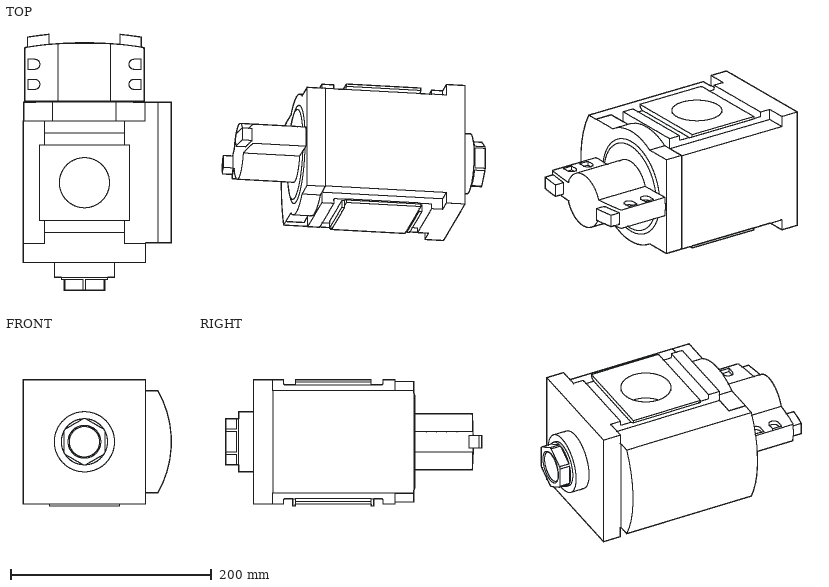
import cadquery as cq
import math

BODY_WIDTH = 122.0
BODY_HEIGHT = 124.0
SHOULDER_HEIGHT = 102.0
PAD_WIDTH = 80.0
BODY_FRONT = -79.6
BODY_BACK = 61.7
FRONT_BLOCK_BACK = -60.6

GROOVE_LENGTH = 99.0
GROOVE_DEPTH = 5.0
GROOVE_FILLET = 1.0
PORT_PLATE_WIDTH = 90.0
PORT_PLATE_LENGTH = 75.4
PORT_PLATE_RIM = 2.6
PORT_PLATE_THICKNESS = 5.4
PORT_DIAMETER = 50.0
PORT_DEPTH = 30.5
RETAINER_WIDTH = 70.0
RETAINER_THICKNESS = 2.8
RETAINER_BOTTOM = -64.0

COVER_TOP_X = 86.71
COVER_EDGE_X = 73.2
COVER_FRONT = -59.9
COVER_BACK = 80.2

BACK_PLATE_WIDTH = 121.0
BACK_PLATE_HEIGHT = 102.6
BACK_PLATE_DISC_DIAMETER = 120.6
BACK_PLATE_END = COVER_BACK

NECK_DIAMETER = 98.18
NECK_TOP_DIAMETER = 90.0
NECK_HEIGHT = 1.4
NECK_END = BACK_PLATE_END + NECK_HEIGHT
HUB_DIAMETER = 56.0
WING_DIAMETER = 120.0
WING_THICKNESS = 20.0
WING_START = 81.2
WING_END_FILLET = 1.4
HANDLE_APEX = 139.7
HANDLE_DOME_RADIUS = 360.0
LUG_INNER_X = 35.2
LUG_OUTER_X = 56.8
LUG_THICKNESS = 12.6
LUG_END = 147.95
GRIP_POCKET_WIDTH = 10.0
GRIP_POCKET_OUTER_X = 56.4
GRIP_POCKET_INNER_X = 44.4
GRIP_POCKET_DEPTH = 4.2
GRIP_POCKET_CENTRES = (98.0, 118.0)

COLLAR_DIAMETER = 60.0
COLLAR_END = -94.2
FLANGE_DIAMETER = 46.0
FLANGE_END = -96.6
NUT_ACROSS_FLATS = 41.0
NUT_END = -107.2
NUT_BORE_DIAMETER = 30.29
NUT_BORE_DEPTH = 17.5
NUT_BORE_CHAMFER = 1.2


def block(x_range, y_range, z_range):
    """Axis-aligned box between the given (low, high) limits."""
    sizes = [high - low for low, high in (x_range, y_range, z_range)]
    corner = (x_range[0], y_range[0], z_range[0])
    return cq.Workplane("XY").box(*sizes, centered=False).translate(corner)


def along_y(y_start):
    """XZ workplane at y_start; its normal points to -Y."""
    return cq.Workplane("XZ", origin=(0, y_start, 0))


def rod(diameter, y_start, y_end):
    """Cylinder on the Y axis."""
    return along_y(y_start).circle(diameter / 2).extrude(y_start - y_end)


def centred(size):
    """Limits of a length centred on zero."""
    return (-size / 2, size / 2)


def make_body():
    """Full-section front block, then lower shoulders with a raised central pad."""
    front_block = block(centred(BODY_WIDTH), (BODY_FRONT, FRONT_BLOCK_BACK), centred(BODY_HEIGHT))
    shoulders = block(centred(BODY_WIDTH), (BODY_FRONT, BODY_BACK), centred(SHOULDER_HEIGHT))
    pads = block(centred(PAD_WIDTH), (BODY_FRONT, BODY_BACK), centred(BODY_HEIGHT))
    return front_block.union(shoulders).union(pads)


def make_groove():
    """Cross groove cut into the top pad, with rounded floor corners."""
    top = BODY_HEIGHT / 2
    groove = block(centred(PAD_WIDTH), centred(GROOVE_LENGTH), (top - GROOVE_DEPTH, top))
    return groove.edges("|X and <Z").fillet(GROOVE_FILLET)


def make_port_plate():
    """Top connection plate; its overhanging sides are undercut down to the pad width."""
    top = BODY_HEIGHT / 2
    half_profile = [
        (0, top),
        (PORT_PLATE_WIDTH / 2, top),
        (PORT_PLATE_WIDTH / 2, top - PORT_PLATE_RIM),
        (PAD_WIDTH / 2, top - PORT_PLATE_THICKNESS),
        (0, top - PORT_PLATE_THICKNESS),
    ]
    half = along_y(PORT_PLATE_LENGTH / 2).polyline(half_profile).close().extrude(PORT_PLATE_LENGTH)
    return half.union(half.mirror("YZ"))


def make_retainer():
    """Strip in the bottom groove, against the rear end of the bottom plate."""
    y_start = PORT_PLATE_LENGTH / 2
    return block(
        centred(RETAINER_WIDTH),
        (y_start, y_start + RETAINER_THICKNESS),
        (RETAINER_BOTTOM, GROOVE_DEPTH - BODY_HEIGHT / 2),
    )


def make_cover():
    """Cover on the +X side, with an arched outer face."""
    half_height = SHOULDER_HEIGHT / 2
    base_x = BACK_PLATE_WIDTH / 2
    return (
        along_y(COVER_BACK)
        .moveTo(base_x, -half_height)
        .lineTo(COVER_EDGE_X, -half_height)
        .threePointArc((COVER_TOP_X, 0), (COVER_EDGE_X, half_height))
        .lineTo(base_x, half_height)
        .close()
        .extrude(COVER_BACK - COVER_FRONT)
    )


def make_back_plate():
    """Block merged with a slightly taller disc."""
    y_range = (BODY_BACK, BACK_PLATE_END)
    plate = block(centred(BACK_PLATE_WIDTH), y_range, centred(BACK_PLATE_HEIGHT))
    return plate.union(rod(BACK_PLATE_DISC_DIAMETER, *y_range))


def dome(apex_y):
    """Large ball on the Y axis whose rear pole is at apex_y."""
    centre = (0, apex_y - HANDLE_DOME_RADIUS, 0)
    return cq.Workplane("XY").sphere(HANDLE_DOME_RADIUS).translate(centre)


def make_neck():
    """Shallow cone between the back plate and the handle."""
    return (
        cq.Workplane("XY")
        .polyline([
            (0, BACK_PLATE_END),
            (NECK_DIAMETER / 2, BACK_PLATE_END),
            (NECK_TOP_DIAMETER / 2, NECK_END),
            (0, NECK_END),
        ])
        .close()
        .revolve(360, (0, 0, 0), (0, 1, 0))
    )


def make_grip_pocket(y_centre):
    """D-shaped pocket in the top of the +X wing, rounded toward the hub."""
    radius = GRIP_POCKET_WIDTH / 2
    arc_x = GRIP_POCKET_INNER_X + radius
    return (
        cq.Workplane("XY", origin=(0, y_centre, WING_THICKNESS / 2 - GRIP_POCKET_DEPTH))
        .moveTo(GRIP_POCKET_OUTER_X, -radius)
        .lineTo(GRIP_POCKET_OUTER_X, radius)
        .lineTo(arc_x, radius)
        .threePointArc((GRIP_POCKET_INNER_X, 0), (arc_x, -radius))
        .close()
        .extrude(GRIP_POCKET_DEPTH)
    )


def make_handle():
    """Round hub with two flat wings, an end lug on each wing and grip pockets on top."""
    wing_slab = block(centred(WING_DIAMETER), (WING_START, HANDLE_APEX), centred(WING_THICKNESS))
    wings = rod(WING_DIAMETER, WING_START, HANDLE_APEX).intersect(wing_slab)
    hub = rod(HUB_DIAMETER, BACK_PLATE_END, HANDLE_APEX)
    handle_dome = dome(HANDLE_APEX)
    wings = wings.intersect(handle_dome)
    wings = wings.faces("%CYLINDER").edges(">Y").fillet(WING_END_FILLET)
    handle = wings.union(hub.intersect(handle_dome))

    lug_sag = HANDLE_DOME_RADIUS - math.sqrt(HANDLE_DOME_RADIUS**2 - LUG_INNER_X**2)
    lug_apex = LUG_END + lug_sag
    lug = block((LUG_INNER_X, LUG_OUTER_X), (WING_START, LUG_END), centred(LUG_THICKNESS))
    lug = lug.intersect(dome(lug_apex))
    handle = handle.union(lug).union(lug.mirror("YZ"))

    for y_centre in GRIP_POCKET_CENTRES:
        pocket = make_grip_pocket(y_centre)
        handle = handle.cut(pocket).cut(pocket.mirror("YZ"))
    return handle.union(make_neck())


def make_front_connection():
    """Collar, flange and bored hexagon nut whose corners are turned down."""
    collar = rod(COLLAR_DIAMETER, BODY_FRONT, COLLAR_END)
    flange = rod(FLANGE_DIAMETER, COLLAR_END, FLANGE_END)
    corner_diameter = NUT_ACROSS_FLATS / math.cos(math.pi / 6)
    hexagon = (
        along_y(FLANGE_END)
        .transformed(rotate=(0, 0, 90))
        .polygon(6, corner_diameter)
        .extrude(FLANGE_END - NUT_END)
    )
    bore = rod(NUT_BORE_DIAMETER, NUT_END + NUT_BORE_DEPTH, NUT_END)
    nut = hexagon.cut(bore).faces("<Y").edges("%CIRCLE").chamfer(NUT_BORE_CHAMFER)
    nut = nut.intersect(rod(FLANGE_DIAMETER, FLANGE_END, NUT_END))
    return collar.union(flange).cut(bore).union(nut)


def make_port():
    """Blind round port in the top connection plate."""
    top = BODY_HEIGHT / 2
    return cq.Workplane("XY", origin=(0, 0, top)).circle(PORT_DIAMETER / 2).extrude(-PORT_DEPTH)


body = make_body()
groove = make_groove()
port_plate = make_port_plate()
retainer = make_retainer()

result = (
    body.cut(groove)
    .cut(groove.mirror("XY"))
    .union(port_plate)
    .union(port_plate.mirror("XY"))
    .union(retainer)
    .union(retainer.mirror("XZ"))
    .cut(make_port())
    .union(make_back_plate())
    .union(make_cover())
    .union(make_handle())
    .union(make_front_connection())
)